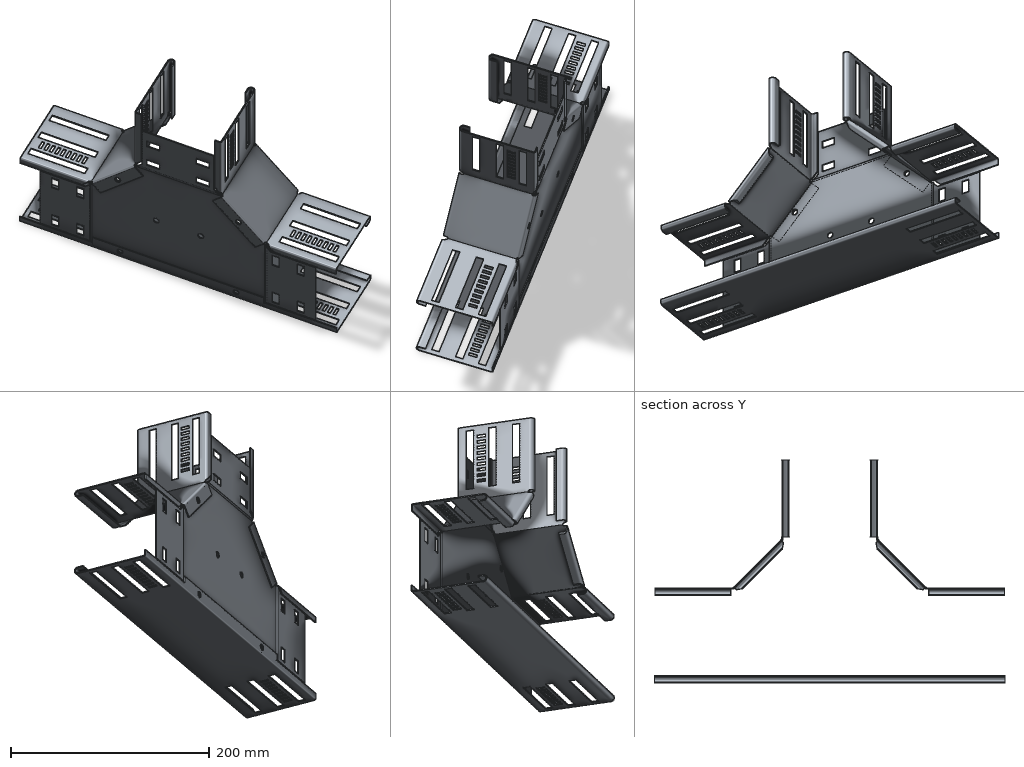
import cadquery as cq
import math


RAIL_LENGTH = 354.0
TRAY_DEPTH = 82.0
TRAY_HEIGHT = 225.0
ARM_SHORTFALL = 0.53
ARM_REACH = RAIL_LENGTH / 2 - ARM_SHORTFALL

SHEET = 1.25
BEND_RADIUS = 2.3
FLANGE_WIDTH = 7.5
TAB_WIDTH = 15.0
HOOK_RADIUS = 4.0
HOOK_LENGTH = 10.0

BRANCH_HALF_WIDTH = 48.5
ARM_HEIGHT = 96.0
CORNER_X = 97.7
CORNER_Z = ARM_HEIGHT + CORNER_X - BRANCH_HALF_WIDTH
ARM_END_GAP = 2.0
DIAGONAL_END_GAP = 1.25
HOOK_MITRE = 5.5
RELIEF_DIAMETER = 3.0
FRONT_RELIEF_Y = 1.8
BACK_RELIEF_Y = TRAY_DEPTH - 4.2

SLOT_FROM_END = 36.0
LONG_SLOT = (63.5, 7.8)
LONG_SLOT_ROWS = (13.5, 38.0, 63.5)
SHORT_SLOT = (3.0, 9.0)
SHORT_SLOT_ROW = 26.0
SHORT_SLOT_COUNT = 9
SHORT_SLOT_PITCH = 6.0

PLATE_BEND_GAP = 2.5
SHOULDER_GAP = 2.5
WING_GAP = 1.0
WING_INSET = FLANGE_WIDTH + WING_GAP
WING_REACH = 154.0
WING_LENGTH = WING_REACH - CORNER_X
WING_SLOT = (7.8, 14.5)
WING_SLOT_START = 11.5
WING_SLOT_PITCH = 28.0
WING_SLOT_SPACING = 55.5
RAIL_TAB_HALF_LENGTH = 95.5

HOLE_DIAMETER = 6.5
PLATE_HOLE_X = 24.8
PLATE_HOLE_Z = 72.5
SCREW_INSET = 8.0
RAIL_SCREW_X = 64.8

BASE_CUT = 9.0
FOLD_ANGLE = 45
HALF_ROOT = math.sqrt(0.5)


class Run:
    """A straight wall from start to end; inward is the direction its flange points."""

    def __init__(self, start, end):
        dx = end[0] - start[0]
        dz = end[1] - start[1]
        self.length = math.hypot(dx, dz)
        self.start = cq.Vector(start[0], 0, start[1])
        self.along = cq.Vector(dx, 0, dz) / self.length
        self.inward = cq.Vector(dz, 0, -dx) / self.length

    def point(self, distance, inset=0.0):
        return self.start + self.along * distance + self.inward * inset

    def section_plane(self, distance):
        """Local x points inward, local y is global Y."""
        return cq.Plane(self.point(distance), self.inward, self.along)

    def wall_plane(self, distance):
        """Local x runs along the wall, local y is global Y, the normal points outward."""
        return cq.Plane(self.point(distance), self.along, self.inward * -1)


def extrude_xz(points, y_start, y_end):
    """Prism of an (x, z) outline between two Y values."""
    plane = cq.Plane((0, y_start, 0), (1, 0, 0), (0, -1, 0))
    return cq.Workplane(plane).polyline(points).close().extrude(y_start - y_end)


def holes_y(points, diameter):
    """Round cutters along Y at (x, z) places, through the base."""
    plane = cq.Plane((0, 0, 0), (1, 0, 0), (0, -1, 0))
    return cq.Workplane(plane).pushPoints(points).circle(diameter / 2).extrude(BASE_CUT, both=True)


def bent_wall(run, flange, start_gap=0.0, end_gap=0.0):
    """Wall with a flange at the base and a rolled edge at the open side."""
    bend_middle = BEND_RADIUS * (1 - HALF_ROOT)
    inner_bend_middle = BEND_RADIUS - (BEND_RADIUS - SHEET) * HALF_ROOT
    hook_y = TRAY_DEPTH - HOOK_RADIUS
    hook_width = 2 * HOOK_RADIUS
    hook_end_y = TRAY_DEPTH - HOOK_LENGTH
    return (
        cq.Workplane(run.section_plane(start_gap))
        .moveTo(flange, 0)
        .lineTo(BEND_RADIUS, 0)
        .threePointArc((bend_middle, bend_middle), (0, BEND_RADIUS))
        .lineTo(0, hook_y)
        .threePointArc((HOOK_RADIUS, TRAY_DEPTH), (hook_width, hook_y))
        .lineTo(hook_width, hook_end_y)
        .lineTo(hook_width - SHEET, hook_end_y)
        .lineTo(hook_width - SHEET, hook_y)
        .threePointArc((HOOK_RADIUS, TRAY_DEPTH - SHEET), (SHEET, hook_y))
        .lineTo(SHEET, BEND_RADIUS)
        .threePointArc((inner_bend_middle, inner_bend_middle), (BEND_RADIUS, SHEET))
        .lineTo(flange, SHEET)
        .close()
        .extrude(run.length - start_gap - end_gap)
    )


def wall_slots(run, distance):
    """Cutters for three long slots and one row of short slots, centred at a distance."""
    middle = (SHORT_SLOT_COUNT - 1) / 2
    short_places = [((i - middle) * SHORT_SLOT_PITCH, SHORT_SLOT_ROW) for i in range(SHORT_SLOT_COUNT)]
    long_places = [(0, row) for row in LONG_SLOT_ROWS]
    wall = cq.Workplane(run.wall_plane(distance))
    long_slots = wall.pushPoints(long_places).rect(*LONG_SLOT).extrude(SHEET * 2, both=True)
    short_slots = wall.pushPoints(short_places).rect(*SHORT_SLOT).extrude(SHEET * 2, both=True)
    return long_slots.add(short_slots).combine()


def flange_mitre(run, corner_distance, direction):
    """Cutter that ends an arm's base flange at 45 degrees, leaning away from the corner."""
    tip = corner_distance + direction * ARM_END_GAP
    corners = [
        run.point(tip),
        run.point(tip, FLANGE_WIDTH),
        run.point(tip + direction * FLANGE_WIDTH, FLANGE_WIDTH),
    ]
    return extrude_xz([(p.x, p.z) for p in corners], 0, BEND_RADIUS)


def hook_mitre(run, corner_distance, direction):
    """Cutter that slants the end of the diagonal wall's rolled edge away from the corner."""
    tip = corner_distance + direction * DIAGONAL_END_GAP
    hook_width = 2 * HOOK_RADIUS
    corners = [
        run.point(tip, HOOK_RADIUS),
        run.point(tip, hook_width),
        run.point(tip + direction * HOOK_MITRE, hook_width),
    ]
    return extrude_xz([(p.x, p.z) for p in corners], TRAY_DEPTH - HOOK_LENGTH, TRAY_DEPTH)


def corner_reliefs(corner, before, after):
    """Round cutters at both ends of the fold between two walls."""
    bisector = before.inward + after.inward
    cutters = cq.Workplane()
    for y in (FRONT_RELIEF_Y, BACK_RELIEF_Y):
        plane = cq.Plane((corner[0], y, corner[1]), (0, 1, 0), bisector)
        cutters = cutters.add(
            cq.Workplane(plane).circle(RELIEF_DIAMETER / 2).extrude(SHEET * 2, both=True)
        )
    return cutters.combine()


def make_bracket(side):
    """Corner bracket; built on the left (side -1) and mirrored for the right (side 1)."""
    arm_end = (-ARM_REACH, ARM_HEIGHT)
    lower_corner = (-CORNER_X, ARM_HEIGHT)
    upper_corner = (-BRANCH_HALF_WIDTH, CORNER_Z)
    branch_end = (-BRANCH_HALF_WIDTH, TRAY_HEIGHT)
    arm = Run(arm_end, lower_corner)
    diagonal = Run(lower_corner, upper_corner)
    branch = Run(upper_corner, branch_end)

    fold_shift = SHEET * math.tan(math.radians(FOLD_ANGLE / 2))
    wall = extrude_xz(
        [
            arm_end,
            lower_corner,
            upper_corner,
            branch_end,
            (-BRANCH_HALF_WIDTH + SHEET, TRAY_HEIGHT),
            (-BRANCH_HALF_WIDTH + SHEET, CORNER_Z - fold_shift),
            (-CORNER_X + fold_shift, ARM_HEIGHT - SHEET),
            (-ARM_REACH, ARM_HEIGHT - SHEET),
        ],
        BEND_RADIUS,
        TRAY_DEPTH - HOOK_RADIUS,
    )
    bracket = (
        wall.union(bent_wall(arm, FLANGE_WIDTH, end_gap=ARM_END_GAP))
        .union(bent_wall(diagonal, TAB_WIDTH, DIAGONAL_END_GAP, DIAGONAL_END_GAP))
        .union(bent_wall(branch, FLANGE_WIDTH, start_gap=ARM_END_GAP))
    )
    screw = diagonal.point(diagonal.length / 2, SCREW_INSET)
    bracket = (
        bracket.cut(flange_mitre(arm, arm.length, -1))
        .cut(flange_mitre(branch, 0, 1))
        .cut(hook_mitre(diagonal, 0, 1))
        .cut(hook_mitre(diagonal, diagonal.length, -1))
        .cut(corner_reliefs(lower_corner, arm, diagonal))
        .cut(corner_reliefs(upper_corner, diagonal, branch))
        .cut(wall_slots(arm, SLOT_FROM_END))
        .cut(wall_slots(branch, branch.length - SLOT_FROM_END))
        .cut(holes_y([(screw.x, screw.z)], HOLE_DIAMETER))
    )
    return bracket.mirror("YZ") if side > 0 else bracket


def make_rail():
    run = Run((RAIL_LENGTH / 2, 0), (-RAIL_LENGTH / 2, 0))
    rail_slot_from_end = SLOT_FROM_END + ARM_SHORTFALL
    tab = extrude_xz(
        [
            (-RAIL_TAB_HALF_LENGTH, BEND_RADIUS),
            (RAIL_TAB_HALF_LENGTH, BEND_RADIUS),
            (RAIL_TAB_HALF_LENGTH, TAB_WIDTH),
            (-RAIL_TAB_HALF_LENGTH, TAB_WIDTH),
        ],
        0,
        SHEET,
    )
    screws = [(-RAIL_SCREW_X, SCREW_INSET), (RAIL_SCREW_X, SCREW_INSET)]
    return (
        bent_wall(run, FLANGE_WIDTH)
        .union(tab)
        .cut(wall_slots(run, rail_slot_from_end))
        .cut(wall_slots(run, run.length - rail_slot_from_end))
        .cut(holes_y(screws, HOLE_DIAMETER))
    )


def mirrored_outline(right_half):
    """Closes a right-hand outline, listed from bottom to top, with its mirror image."""
    return right_half + [(-x, z) for x, z in reversed(right_half)]


def step_section(plane, length):
    """Sloped step between a wing and the middle; local x points to the wing, local y is global Y."""
    points = [
        (-SHEET, SHEET),
        (0, 0),
        (SHEET, 0),
        (SHEET, SHEET),
        (0, 2 * SHEET),
        (-SHEET, 2 * SHEET),
    ]
    return cq.Workplane(plane).polyline(points).close().extrude(length)


def make_base_plate():
    shoulder_x = BRANCH_HALF_WIDTH - SHOULDER_GAP
    shoulder_z = ARM_HEIGHT - SHOULDER_GAP
    edge_sum = CORNER_X + ARM_HEIGHT - PLATE_BEND_GAP / HALF_ROOT
    middle = extrude_xz(
        mirrored_outline(
            [
                (RAIL_TAB_HALF_LENGTH, PLATE_BEND_GAP),
                (RAIL_TAB_HALF_LENGTH, WING_INSET),
                (CORNER_X, WING_INSET),
                (CORNER_X, shoulder_z),
                (edge_sum - shoulder_z, shoulder_z),
                (shoulder_x, edge_sum - shoulder_x),
                (shoulder_x, CORNER_Z),
            ]
        ),
        SHEET,
        2 * SHEET,
    )

    wing_top = ARM_HEIGHT - WING_INSET
    side_wing = extrude_xz(
        [
            (CORNER_X, WING_INSET),
            (WING_REACH, WING_INSET),
            (WING_REACH, wing_top),
            (CORNER_X + shoulder_z - wing_top, wing_top),
            (CORNER_X, shoulder_z),
        ],
        0,
        SHEET,
    )
    side_step_plane = cq.Plane((CORNER_X, 0, WING_INSET), (1, 0, 0), (0, 0, 1))
    side = side_wing.union(step_section(side_step_plane, shoulder_z - WING_INSET))

    wing_half = BRANCH_HALF_WIDTH - WING_INSET
    upper_wing = extrude_xz(
        mirrored_outline(
            [
                (shoulder_x, CORNER_Z),
                (wing_half, CORNER_Z + shoulder_x - wing_half),
                (wing_half, CORNER_Z + WING_LENGTH),
            ]
        ),
        0,
        SHEET,
    )
    upper_step_plane = cq.Plane((shoulder_x, 0, CORNER_Z), (0, 0, 1), (-1, 0, 0))
    upper_step = step_section(upper_step_plane, 2 * shoulder_x)

    plate = middle.union(side).union(side.mirror("YZ")).union(upper_wing).union(upper_step)
    return plate.cut(wing_slots()).cut(holes_y(plate_hole_places(), HOLE_DIAMETER))


def wing_slots():
    """Cutters for two pairs of slots in each wing."""
    face = cq.Workplane(cq.Plane((0, 0, 0), (1, 0, 0), (0, -1, 0)))
    along, across = WING_SLOT
    half_spacing = WING_SLOT_SPACING / 2
    side_places = []
    upper_places = []
    for row in range(2):
        distance = WING_SLOT_START + row * WING_SLOT_PITCH
        for offset in (-half_spacing, half_spacing):
            upper_places.append((offset, CORNER_Z + distance))
            for side in (-1, 1):
                side_places.append((side * (CORNER_X + distance), ARM_HEIGHT / 2 + offset))
    side_slots = face.pushPoints(side_places).rect(along, across).extrude(SHEET * 2, both=True)
    upper_slots = face.pushPoints(upper_places).rect(across, along).extrude(SHEET * 2, both=True)
    return side_slots.add(upper_slots).combine()


def plate_hole_places():
    """Two free holes and the four screw holes under the tabs."""
    diagonal_x = (CORNER_X + BRANCH_HALF_WIDTH) / 2 - SCREW_INSET * HALF_ROOT
    diagonal_z = (ARM_HEIGHT + CORNER_Z) / 2 - SCREW_INSET * HALF_ROOT
    right_places = [
        (PLATE_HOLE_X, PLATE_HOLE_Z),
        (RAIL_SCREW_X, SCREW_INSET),
        (diagonal_x, diagonal_z),
    ]
    return [(side * x, z) for x, z in right_places for side in (-1, 1)]


base_plate = make_base_plate()
rail = make_rail()
brackets = [make_bracket(side) for side in (-1, 1)]

result = cq.Compound.makeCompound(
    [
        base_plate.solids().val(),
        rail.solids().val(),
        *[bracket.solids().val() for bracket in brackets],
    ]
)